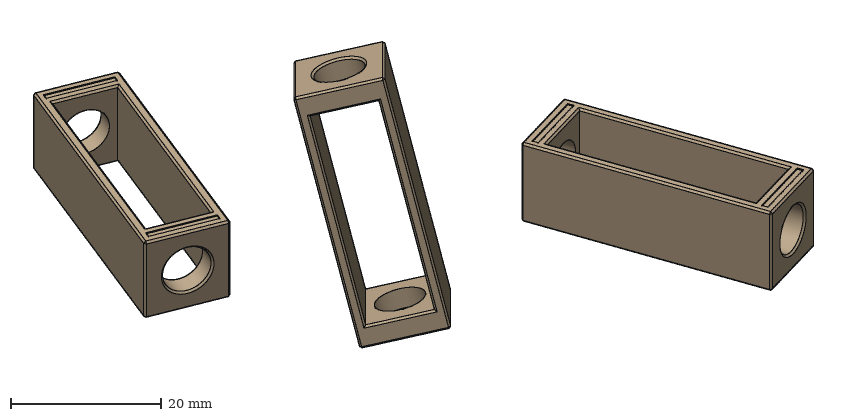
import cadquery as cq

length = 37.5
side = 12.5
end_wall = 3.15
side_wall = 1.55
bore_diameter = 7.0
edge_chamfer = 0.3

label_width = 0.9
label_length = 10.3
label_depth = 0.2

opening_length = length - 2 * end_wall
opening_width = side - 2 * side_wall
label_spacing = length - end_wall


def chamfered_block():
    return cq.Workplane("XY").box(length, side, side).edges().chamfer(edge_chamfer)


def opening_cutter():
    """Vertical through opening, flared at the top and bottom faces."""
    opening = cq.Workplane("XY").rect(opening_length, opening_width).extrude(side / 2, both=True)
    for face in (1, -1):
        flare = (
            cq.Workplane("XY", origin=(0, 0, face * side / 2))
            .rect(opening_length + 2 * edge_chamfer, opening_width + 2 * edge_chamfer)
            .workplane(offset=-face * edge_chamfer)
            .rect(opening_length, opening_width)
            .loft(ruled=True)
        )
        opening = opening.union(flare)
    return opening


def bore_cutter():
    """Bore along X, countersunk at both outer end faces."""
    radius = bore_diameter / 2
    half = length / 2
    return (
        cq.Workplane("XY")
        .moveTo(-half, 0)
        .lineTo(-half, radius + edge_chamfer)
        .lineTo(-half + edge_chamfer, radius)
        .lineTo(half - edge_chamfer, radius)
        .lineTo(half, radius + edge_chamfer)
        .lineTo(half, 0)
        .close()
        .revolve(360, (0, 0, 0), (1, 0, 0))
    )


def label_recess_cutter():
    return (
        cq.Workplane("XY", origin=(0, 0, side / 2))
        .rarray(label_spacing, 0.38, 2, 1)
        .rect(label_width, label_length)
        .extrude(-label_depth)
    )


result = (
    chamfered_block()
    .cut(opening_cutter())
    .cut(bore_cutter())
    .cut(label_recess_cutter())
)